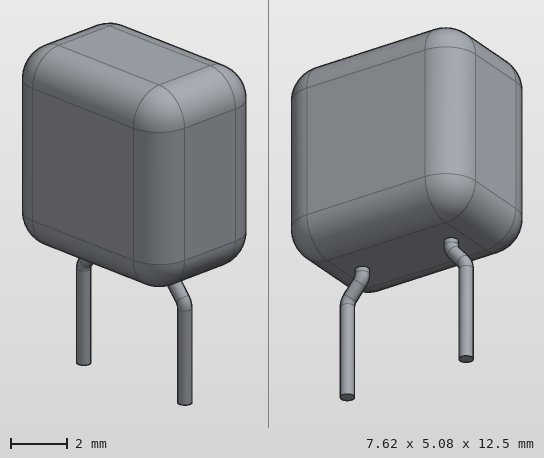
import cadquery as cq
import math

total_height = 12.54
case_width = 7.62
case_depth = 5.08
case_height = 7.62
case_edge_radius = 1.28

wire_diameter = 0.51
lead_root_x = 1.9
lead_foot_x = 2.55
root_length = 0.18
bend_radius = 0.5
bend_angle = 40.0

lead_length = total_height - case_height


def make_case():
    """Block with every edge rounded."""
    block = cq.Workplane("XY").box(
        case_width, case_depth, case_height, centered=(True, True, False)
    )
    return block.edges().fillet(case_edge_radius)


def make_lead(side):
    """Wire swept down from the case underside; side is -1 for -X and +1 for +X."""
    tilt = math.radians(bend_angle)

    def bend_offset(angle):
        """Outward shift and drop along a bend that starts vertical."""
        return bend_radius * (1 - math.cos(angle)), bend_radius * math.sin(angle)

    bend_out, bend_drop = bend_offset(tilt)
    mid_out, mid_drop = bend_offset(tilt / 2)
    slope_out = lead_foot_x - lead_root_x - 2 * bend_out
    slope_drop = slope_out / math.tan(tilt)

    upper_bend_z = -root_length
    slope_top_z = upper_bend_z - bend_drop
    slope_bottom_z = slope_top_z - slope_drop
    lower_bend_z = slope_bottom_z - bend_drop

    axis = (
        cq.Workplane("XZ")
        .moveTo(side * lead_root_x, 0)
        .lineTo(side * lead_root_x, upper_bend_z)
        .threePointArc(
            (side * (lead_root_x + mid_out), upper_bend_z - mid_drop),
            (side * (lead_root_x + bend_out), slope_top_z),
        )
        .lineTo(side * (lead_foot_x - bend_out), slope_bottom_z)
        .threePointArc(
            (side * (lead_foot_x - mid_out), lower_bend_z + mid_drop),
            (side * lead_foot_x, lower_bend_z),
        )
        .lineTo(side * lead_foot_x, -lead_length)
    )
    wire_section = cq.Workplane("XY").center(side * lead_root_x, 0).circle(wire_diameter / 2)
    return wire_section.sweep(axis)


case = make_case()
leads = [make_lead(side) for side in (-1, 1)]

result = cq.Compound.makeCompound([case.val(), *[lead.val() for lead in leads]])